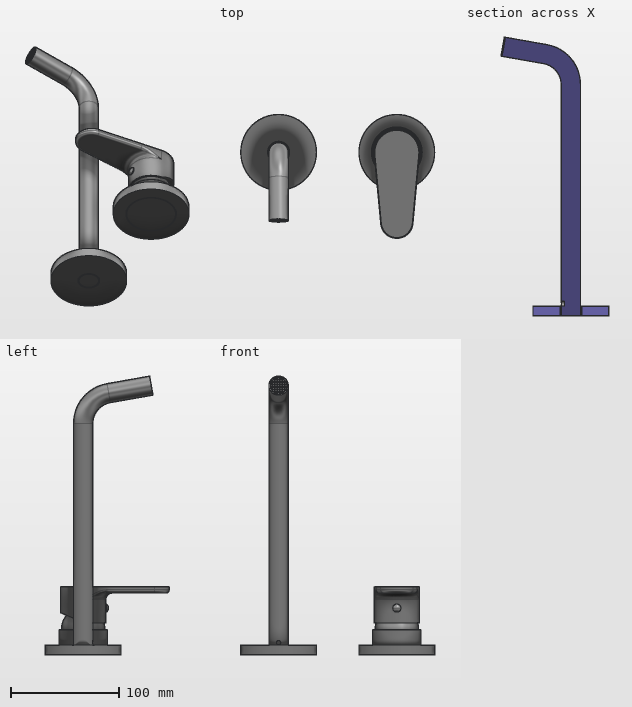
import cadquery as cq
import math

axis_spacing = 109.0
total_height = 257.08
lever_reach = 79.39

flange_diameter = 70.0
flange_thickness = 9.0
spout_bore = 20.0
mixer_bore = 46.5

spout_diameter = 18.0
spout_radius = spout_diameter / 2
bend_radius = 28.5
nozzle_length = 40.0
nozzle_rise_angle = 10.0
bend_angle = 90.0 - nozzle_rise_angle
grub_hole_diameter = 4.0
grub_hole_height = 11.2
grub_hole_depth = 3.0

mesh_diameter = 15.4
mesh_pitch = 2.3
mesh_hole = 1.7
mesh_depth = 1.0

collar_diameter = 45.0
collar_height = 23.5
collar_chamfer = 0.8
ball_radius = 20.2

hub_radius = 21.0
hub_bottom = 29.4
lever_top = 63.0
plate_thickness = 6.2
plate_tip_radius = 15.0
top_chamfer = 0.7
plate_edge_radius = 3.2
hub_blend_radius = 5.8
rear_cut_angle = 22.0
rear_cut_start = -2.0

button_radius = 3.75
button_height = 43.0
button_rim = 0.6
button_dome = 1.8


def make_flange(center_x, bore):
    """Round cover plate with a clearance bore."""
    return (
        cq.Workplane("XY", origin=(center_x, 0, 0))
        .circle(flange_diameter / 2)
        .circle(bore / 2)
        .extrude(flange_thickness)
    )


def make_spout():
    """Upright tube, bent forward into a rising nozzle that ends in a mesh."""
    rise = math.radians(nozzle_rise_angle)
    bend = math.radians(bend_angle)
    tip_z = total_height - spout_radius * math.cos(rise)
    bend_end_z = tip_z - nozzle_length * math.sin(rise)
    bend_start_z = bend_end_z - bend_radius * math.sin(bend)
    bend_end_y = -bend_radius * (1 - math.cos(bend))
    tip_y = bend_end_y - nozzle_length * math.cos(rise)
    bend_mid = (
        -bend_radius * (1 - math.cos(bend / 2)),
        bend_start_z + bend_radius * math.sin(bend / 2),
    )
    path = (
        cq.Workplane("YZ")
        .lineTo(0, bend_start_z)
        .threePointArc(bend_mid, (bend_end_y, bend_end_z))
        .lineTo(tip_y, tip_z)
    )
    tube = cq.Workplane("XY").circle(spout_radius).sweep(path)

    grub_hole = (
        cq.Workplane("XZ", origin=(0, grub_hole_depth - spout_radius, grub_hole_height))
        .circle(grub_hole_diameter / 2)
        .extrude(spout_radius)
    )

    tip_plane = cq.Plane(
        origin=(0, tip_y, tip_z),
        xDir=(1, 0, 0),
        normal=(0, -math.cos(rise), math.sin(rise)),
    )
    holes_across = math.ceil(mesh_diameter / mesh_pitch)
    mesh = (
        cq.Workplane(tip_plane)
        .rarray(mesh_pitch, mesh_pitch, holes_across, holes_across)
        .rect(mesh_hole, mesh_hole)
        .extrude(-mesh_depth)
    )
    mesh_limit = cq.Workplane(tip_plane).circle(mesh_diameter / 2).extrude(-mesh_depth)
    return tube.cut(grub_hole).cut(mesh.intersect(mesh_limit))


def make_lever_outline():
    """Full-height prism: the hub circle and the tip circle joined by tangent lines."""
    tip_center = plate_tip_radius - lever_reach
    taper_sin = (hub_radius - plate_tip_radius) / -tip_center
    taper_cos = math.sqrt(1 - taper_sin**2)
    hub_x = hub_radius * taper_cos
    hub_y = -hub_radius * taper_sin
    tip_x = plate_tip_radius * taper_cos
    tip_y = tip_center - plate_tip_radius * taper_sin
    return (
        cq.Workplane("XY", origin=(axis_spacing, 0, hub_bottom))
        .moveTo(hub_x, hub_y)
        .threePointArc((0, hub_radius), (-hub_x, hub_y))
        .lineTo(-tip_x, tip_y)
        .threePointArc((0, -lever_reach), (tip_x, tip_y))
        .close()
        .extrude(lever_top - hub_bottom)
    )


def make_lever_profile():
    """Hub that flares through a concave blend into a disc wider than the lever's reach."""
    plate_bottom = lever_top - plate_thickness
    blend_outer = hub_radius + hub_blend_radius
    blend_start = plate_bottom - hub_blend_radius
    blend_mid = (
        blend_outer - hub_blend_radius * math.sqrt(0.5),
        blend_start + hub_blend_radius * math.sqrt(0.5),
    )
    disc_radius = lever_reach + hub_radius
    return (
        cq.Workplane("XZ", origin=(axis_spacing, 0, 0))
        .moveTo(0, hub_bottom)
        .lineTo(hub_radius, hub_bottom)
        .lineTo(hub_radius, blend_start)
        .threePointArc(blend_mid, (blend_outer, plate_bottom))
        .lineTo(disc_radius, plate_bottom)
        .lineTo(disc_radius, lever_top)
        .lineTo(0, lever_top)
        .close()
        .revolve(360, (0, 0, 0), (0, 1, 0))
    )


def make_button():
    """Domed button, rooted in the hub and facing -Y."""
    rim_y = -hub_radius - button_rim
    root_y = -hub_radius / 2
    dome_radius = (button_radius**2 + button_dome**2) / (2 * button_dome)
    dome_center_y = rim_y - button_dome + dome_radius
    stem = (
        cq.Workplane("XZ", origin=(axis_spacing, root_y, button_height))
        .circle(button_radius)
        .extrude(root_y - rim_y + button_dome)
    )
    dome = cq.Workplane("XY", origin=(axis_spacing, dome_center_y, button_height)).sphere(dome_radius)
    return stem.intersect(dome)


def make_mixer():
    """Collar, ball joint, lever and button in one piece."""
    base = cq.Workplane("XY", origin=(axis_spacing, 0, 0))
    collar = base.circle(collar_diameter / 2).extrude(collar_height).faces(">Z").chamfer(collar_chamfer)
    ball = base.workplane(offset=collar_height).sphere(ball_radius)

    lever = make_lever_outline().intersect(make_lever_profile())
    lever = lever.faces(">Z").edges().chamfer(top_chamfer)
    lever = lever.edges("%BSPLINE").fillet(plate_edge_radius)

    cut_length = 2 * hub_radius
    cut_end = rear_cut_start + cut_length
    cut_rise = cut_length * math.tan(math.radians(rear_cut_angle))
    rear_cut = (
        cq.Workplane("YZ", origin=(axis_spacing, 0, hub_bottom))
        .moveTo(rear_cut_start, 0)
        .lineTo(cut_end, 0)
        .lineTo(cut_end, cut_rise)
        .close()
        .extrude(hub_radius, both=True)
    )
    lever = lever.cut(rear_cut).union(make_button())
    return collar.union(ball).union(lever)


spout_flange = make_flange(0, spout_bore)
mixer_flange = make_flange(axis_spacing, mixer_bore)
spout = make_spout()
mixer = make_mixer()

result = cq.Compound.makeCompound(
    [spout_flange.val(), mixer_flange.val(), spout.val(), mixer.val()]
)